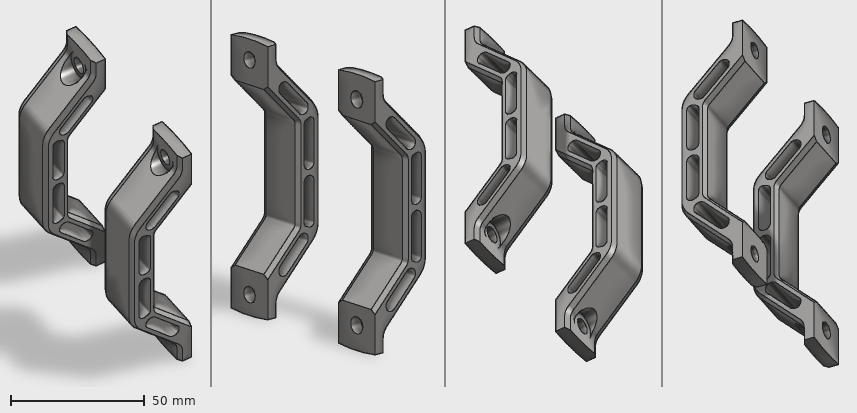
import cadquery as cq
import math

length = 108.3
height = 26.4
width = 20.5
spacing = 59.9

foot_thickness = 5.2
foot_back_end = 36.2
leg_top_offset = 51.0
grip_thickness = 10.7
foot_bend_radius = 5.2
grip_bend_radius = 10.1
inner_bend_radius = 3.0

bevel_width = 2.2
bevel_depth = 1.1

end_radius = 75.8

screw_diameter_left = 6.6
screw_diameter_right = 6.3
screw_offset_left = 44.2
screw_offset_right = 45.9
head_diameter = 11.0

slot_width = 5.1
leg_slot_length = 18.8
leg_slot_inner_end = 25.8
grip_slot_centre = 20.8
grip_slot_gap = 2.4
grip_slot_end = 21.4
slant_angle = 22.5
slant_corner_radius = 2.0

half_length = length / 2
grip_back = height - grip_thickness
leg_centre_offset = (foot_back_end + leg_top_offset) / 2
overrun = 3.2
half_width = width / 2
pick_margin = 0.1


def box_around(y_range, z_range):
    """Selector for whatever is centred inside a Y and Z range, at any X of the handle."""
    return cq.selectors.BoxSelector((-width, y_range[0], z_range[0]), (width, y_range[1], z_range[1]))


def bend_edges(block, depth, z):
    """Edges of the profile block that run along X at the given depth, at +z and -z."""
    y_range = (-depth - pick_margin, -depth + pick_margin)
    upper = box_around(y_range, (z - pick_margin, z + pick_margin))
    lower = box_around(y_range, (-z - pick_margin, -z + pick_margin))
    return block.edges(upper + lower)


def profile_block():
    """Unbevelled right half, filleted at the bends, running past the mounting plane and the ends."""
    upper = [
        (overrun, half_length + overrun),
        (-foot_thickness, half_length + overrun),
        (-foot_thickness, leg_top_offset - foot_thickness),
        (-height, leg_top_offset - height),
    ]
    lower_outer = [(y, -z) for y, z in reversed(upper)]
    underside = [
        (overrun, -foot_back_end - overrun),
        (-grip_back, -foot_back_end + grip_back),
        (-grip_back, foot_back_end - grip_back),
        (overrun, foot_back_end + overrun),
    ]
    block = (
        cq.Workplane("YZ")
        .polyline(upper + lower_outer + underside)
        .close()
        .extrude(half_width - bevel_width)
    )
    block = bend_edges(block, foot_thickness, leg_top_offset - foot_thickness).fillet(foot_bend_radius)
    block = bend_edges(block, height, leg_top_offset - height).fillet(grip_bend_radius)
    return bend_edges(block, grip_back, foot_back_end - grip_back).fillet(inner_bend_radius)


def bevelled_bar():
    """Whole-width bar: the block with a tapered layer on each side."""
    block = profile_block()
    bevel_angle = math.degrees(math.atan2(bevel_depth, bevel_width))
    side_layer = block.faces(">X").wires().toPending().workplane().extrude(
        bevel_width, combine=False, taper=bevel_angle
    )
    half = block.union(side_layer)
    return half.union(half.mirror("YZ"))


def end_envelope():
    """Region in front of the mounting plane, closed at both ends by shallow arcs."""
    edge_z = half_length - end_radius + math.sqrt(end_radius**2 - half_width**2)
    return (
        cq.Workplane("XZ")
        .moveTo(-half_width, -edge_z)
        .threePointArc((0, -half_length), (half_width, -edge_z))
        .lineTo(half_width, edge_z)
        .threePointArc((0, half_length), (-half_width, edge_z))
        .close()
        .extrude(height)
    )


def leg_slot():
    """Round-ended slot along the upper leg."""
    centre_distance = leg_slot_length - slot_width
    inner_y = leg_slot_inner_end - leg_centre_offset
    half_step = centre_distance / 2 * math.sqrt(0.5)
    return (
        cq.Workplane("YZ")
        .center(inner_y + half_step, leg_slot_inner_end + half_step)
        .slot2D(leg_slot_length, slot_width, 45)
        .extrude(half_width, both=True)
    )


def grip_slot():
    """Upper grip slot: round toward the middle, slanted parallel to the bend's bisector at the other end."""
    radius = slot_width / 2
    rise = radius * math.tan(math.radians(slant_angle))
    round_centre = grip_slot_gap / 2 + radius
    front = -grip_slot_centre - radius
    back = -grip_slot_centre + radius
    slot = (
        cq.Workplane("YZ")
        .moveTo(front, round_centre)
        .threePointArc((-grip_slot_centre, grip_slot_gap / 2), (back, round_centre))
        .lineTo(back, grip_slot_end - rise)
        .lineTo(front, grip_slot_end + rise)
        .close()
        .extrude(half_width, both=True)
    )
    slant_corners = box_around(
        (front - pick_margin, back + pick_margin), (round_centre + pick_margin, half_length)
    )
    return slot.edges("|X").edges(slant_corners).fillet(slant_corner_radius)


def screw_hole(screw_diameter, offset):
    """Through hole with a head recess sunk to the level of the foot face."""
    hole = cq.Workplane("XZ").center(0, offset).circle(screw_diameter / 2).extrude(height)
    recess = (
        cq.Workplane("XZ", origin=(0, -foot_thickness, 0))
        .center(0, offset)
        .circle(head_diameter / 2)
        .extrude(height)
    )
    return hole.union(recess)


def make_handle(x, screw_diameter, screw_offset):
    handle = bevelled_bar().intersect(end_envelope())
    for cutter in (leg_slot(), grip_slot(), screw_hole(screw_diameter, screw_offset)):
        handle = handle.cut(cutter).cut(cutter.mirror("XY"))
    return handle.translate((x, 0, 0))


left_handle = make_handle(-spacing / 2, screw_diameter_left, screw_offset_left)
right_handle = make_handle(spacing / 2, screw_diameter_right, screw_offset_right)

result = cq.Compound.makeCompound([left_handle.val(), right_handle.val()])